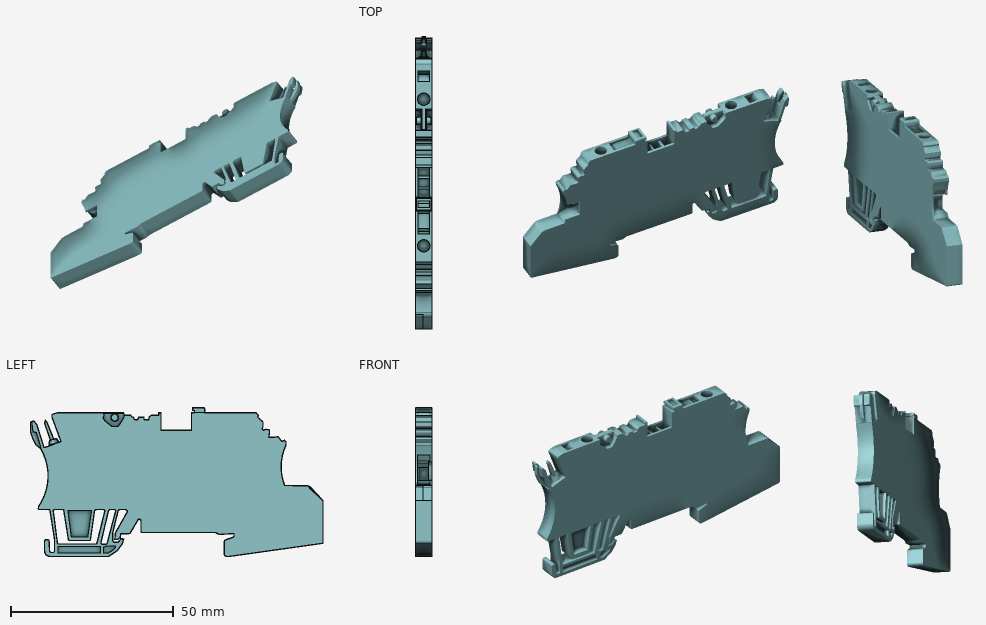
import cadquery as cq
import math

WIDTH = 5.1
HALF = WIDTH / 2
TOP = 44.2
OVERALL_TOP = 45.8
LEDGE = 21.8
RAIL = 7.4
FOOT_TOP = 14.4
DECK = 43.4
TOOTH = 42.8
GROOVE = 42.05
NOTCH_FLOOR = 38.8
NOTCH_START, NOTCH_END = 4.8, -4.5
TAIL_Y = -44.9
TAIL_SLOPE_END = 17.2
TAIL_SEAM_X = -0.2
WELL_DEPTH = 3.6
SEPARATOR_DROP = 0.9
SEPARATORS = [(2.2, 1.35), (-1.3, -1.8)]
POCKET_HALF = 1.8

FOOT_BACK = 40.6
WINDOW_FLOOR = 3.9
FOOT_POCKET_DEPTH = 1.35
TONGUE_POCKET_DEPTH = 2.3

SLANT_FOOT = (35.6, 35.3)
FLAP_RIB_HALF = 0.5
FLAP_SLOT_HALF = 0.8
BLADE_TIP_WIDTH, BLADE_TIP_Z = 1.0, 41.9
BLADE_ROOT_WIDTH = 2.2
FLAP_TIP_Y = 44.9
HUB_RADIUS, HUB_TOP_RADIUS, HUB_HEIGHT = 1.7, 1.1, 1.4
HUB_Y, HUB_Z = 37.6, 34.6
FLOOR_TILT = 16.0

WEB_HALF = 0.8
WEB_CHAMFER = 0.3
WEB_START, WEB_END = 22.6, 16.2
BOSS_Y, BOSS_Z = 19.05, 42.7
BOSS_RADIUS, BOSS_TIP_RADIUS, BOSS_REACH = 1.3, 1.1, 2.25

SCREW_POSITIONS = [25.7, -19.3]
SCREW_RADIUS = 1.9
SCREW_HEAD_DEPTH = 4.5
SCREW_LENGTH = 4.5

LEVER_BACK, LEVER_FRONT = -4.85, -8.6
STEM_BACK, STEM_FRONT = -5.4, -8.45
STEM_BOTTOM = 41.3
STEM_HALF = 1.7
CAP_CHAMFER = 0.3

FUNNEL_HALF = 2.0
WIRE_HOLE_WIDTH = 3.0
WIRE_HOLE_BOTTOM, WIRE_HOLE_TOP = 23.4, 27.3
FUNNEL_FRONT, FUNNEL_BACK, WIRE_HOLE_BACK = -35.9, -29.65, -24.3
SIDE_OPENING_BOTTOM, SIDE_OPENING_TOP = LEDGE + 1.4, LEDGE + 7.2
SIDE_OPENING_BACK = -27.85


def toward(start, end, distance):
    """Point at the given distance from start on the way to end."""
    length = math.dist(start, end)
    return tuple(s + (e - s) * distance / length for s, e in zip(start, end))


def trace(sketch, points):
    """Continue a sketch through (y, z) or (y, z, corner radius) points.

    The corners at the ends of an open stretch are sharp.
    """
    for index, point in enumerate(points):
        corner = point[:2]
        if len(point) == 2:
            sketch = sketch.lineTo(*corner)
            continue
        before = points[index - 1][:2]
        after = points[(index + 1) % len(points)][:2]
        radius = point[2]
        a = math.atan2(before[1] - corner[1], before[0] - corner[0])
        b = math.atan2(after[1] - corner[1], after[0] - corner[0])
        half_angle = abs(math.remainder(a - b, 2 * math.pi)) / 2
        setback = radius / math.tan(half_angle)
        inner_gap = radius / math.sin(half_angle) - radius
        bisector = toward((0, 0), (math.cos(a) + math.cos(b), math.sin(a) + math.sin(b)), 1)
        middle = (corner[0] + bisector[0] * inner_gap, corner[1] + bisector[1] * inner_gap)
        sketch = sketch.lineTo(*toward(corner, before, setback))
        sketch = sketch.threePointArc(middle, toward(corner, after, setback))
    return sketch


def prism(points, x_start=-HALF, x_end=HALF):
    """Extrude a closed (y, z) outline along X; its first corner must be sharp."""
    sketch = cq.Workplane("YZ", origin=(x_start, 0, 0)).moveTo(*points[0][:2])
    return trace(sketch, points[1:] + points[:1]).close().extrude(x_end - x_start)


def block(x_half, y_start, y_end, z_start, z_end):
    """Box centred on X between two Y and two Z positions."""
    return (cq.Workplane("XY")
            .box(2 * x_half, abs(y_end - y_start), z_end - z_start)
            .translate((0, (y_start + y_end) / 2, (z_start + z_end) / 2)))


def housing_plate():
    """Full side outline of the housing."""
    top_edge = [
        (38.4, 42.85), (38.4, 43.5), (38.0, 43.75), (36.5, TOP), (WEB_END + 0.2, TOP), (WEB_END - 0.1, DECK),
        (14.1, DECK), (13.8, 42.9), (13.3, TOOTH), (12.9, GROOVE), (12.0, GROOVE), (11.7, TOOTH),
        (10.1, TOOTH), (10.0, GROOVE), (8.6, GROOVE), (8.5, TOOTH), (7.8, DECK),
        (5.6, DECK), (5.6, TOP), (NOTCH_START, TOP), (NOTCH_START, NOTCH_FLOOR),
        (NOTCH_END, NOTCH_FLOOR), (NOTCH_END, TOP),
    ]
    stepped_corner = [
        (-24.35, TOP), (-25.1, 43.3), (-24.9, 42.8), (-26.5, 41.3), (-26.5, 39.8), (-26.2, 39.3),
        (-26.6, 38.8), (-27.4, 39.1), (-28.5, 38.9, 0.3), (-28.5, 37.9), (-28.3, 36.65),
        (-29.8, 36.65), (-31.1, 36.8), (-32.3, 35.3), (-33.1, 35.8), (-33.6, 35.1), (-33.5, 34.05),
    ]
    tail = [
        (-40.6, LEDGE, 1.8), (TAIL_Y, TAIL_SLOPE_END), (TAIL_Y, 4.0, 0.45), (-16.2, 0.0),
        (-14.55, 0.0, 0.8), (-14.55, 4.85, 0.5), (-15.4, 5.3), (-17.5, 6.0, 0.3), (-17.5, 7.0),
        (-15.7, 6.9), (-13.0, 6.7), (-11.8, RAIL), (11.05, RAIL, 0.4), (11.05, 12.7, 0.45),
    ]
    latch_arm = [
        (14.4, 7.0), (17.2, 6.9), (17.3, 5.75), (18.2, 5.2), (19.05, 5.2), (18.9, 7.3),
        (15.1, 13.9), (15.6, FOOT_TOP), (17.9, FOOT_TOP, 0.5),
    ]
    foot = [
        (19.6, 7.5), (19.6, 4.4, 0.5), (18.1, 4.4), (17.0, 5.6), (16.3, 5.4), (16.7, 3.9),
        (18.2, 1.8), (20.9, 0.0), (FOOT_BACK, 0.0, 1.8), (FOOT_BACK, 5.2, 0.5),
        (39.2, 5.2, 0.5), (39.0, 1.3, 0.5), (37.55, 1.3, 0.45), (37.55, 5.2), (39.0, FOOT_TOP, 0.4),
        (42.6, FOOT_TOP, 0.4), (42.4, 15.45),
    ]
    flap_edge = [
        (43.3, 34.4), (44.2, 36.1), (FLAP_TIP_Y, 38.3), (FLAP_TIP_Y, 41.1), (44.65, 41.5), (43.8, 41.6),
        (42.9, 40.5), (40.7, 33.4, 0.3), SLANT_FOOT,
    ]
    sketch = cq.Workplane("YZ", origin=(-HALF, 0, 0)).moveTo(*SLANT_FOOT)
    sketch = trace(sketch, top_edge + stepped_corner)
    sketch = sketch.threePointArc((-32.1, 27.9), (-33.15, LEDGE))
    sketch = trace(sketch, tail + latch_arm + foot)
    sketch = sketch.threePointArc((39.5, 24.5), (41.8, 33.1))
    return trace(sketch, flap_edge).close().extrude(WIDTH)


def foot_windows():
    """Openings right through the spring foot."""
    around_tongue = prism([
        (34.8, FOOT_TOP), (33.2, 4.85, 0.5), (26.5, 4.85, 0.5), (25.2, FOOT_TOP, 0.5),
        (22.0, FOOT_TOP, 0.4), (24.6, WINDOW_FLOOR, 0.4), (36.6, WINDOW_FLOOR, 0.3),
        (37.9, FOOT_TOP, 0.4),
    ])
    slanted_slot = prism([
        (19.8, FOOT_TOP), (18.7, FOOT_TOP, 0.4), (21.5, 3.8, 0.5), (23.4, 3.8, 0.5), (20.8, FOOT_TOP, 0.45),
    ])
    return around_tongue.union(slanted_slot)


def foot_pockets():
    """Blind pockets sunk into the -X face of the foot."""
    tongue = prism([(33.4, 14.2), (26.1, 14.2), (27.3, 5.9), (32.3, 5.9)],
                   x_end=TONGUE_POCKET_DEPTH - HALF)
    bar = prism([(36.5, 3.05), (23.45, 3.05), (23.45, 1.1), (36.5, 1.1)],
                x_end=FOOT_POCKET_DEPTH - HALF)
    toe = prism([(22.5, 2.9), (21.3, 3.2), (18.8, 3.2), (18.8, 2.8), (19.6, 2.0), (21.1, 1.1), (22.5, 1.1)],
                x_end=FOOT_POCKET_DEPTH - HALF)
    return tongue.union(bar).union(toe)


def flap_cuts():
    """Leave a narrow rib on the outside of the flap and a slot between its two plates."""
    back_of_plates = [(44.5, 41.0), (44.1, 38.3), (43.1, 38.1)]
    outside = back_of_plates + [(41.6, 33.15), (45.8, 33.15), (45.8, 42.2), (44.5, 42.2)]
    between = back_of_plates + [(41.8, 37.6), (42.7, 42.2), (44.5, 42.2)]
    sides = prism(outside).cut(prism(outside, -FLAP_RIB_HALF, FLAP_RIB_HALF))
    return sides.union(prism(between, -FLAP_SLOT_HALF, FLAP_SLOT_HALF))


def marker_pin():
    """Flat blade, wider at its root, on a round tapered hub."""
    blade_side = prism([(40.3, 41.9), (40.6, 41.0), (39.0, 36.2), (38.3, 34.8), (37.2, 34.8), (37.9, 36.5),
                        (39.8, 41.15)])
    blade_front = (cq.Workplane("XZ")
                   .moveTo(-BLADE_ROOT_WIDTH / 2, HUB_Z).lineTo(BLADE_ROOT_WIDTH / 2, HUB_Z)
                   .lineTo(BLADE_TIP_WIDTH / 2, BLADE_TIP_Z).lineTo(-BLADE_TIP_WIDTH / 2, BLADE_TIP_Z)
                   .close().extrude(-FLAP_TIP_Y))
    hub = cq.Workplane(cq.Solid.makeCone(
        HUB_RADIUS, HUB_TOP_RADIUS, HUB_HEIGHT, pnt=cq.Vector(0, HUB_Y, HUB_Z),
        dir=cq.Vector(0, math.sin(math.radians(FLOOR_TILT)), math.cos(math.radians(FLOOR_TILT)))))
    return blade_side.intersect(blade_front).union(hub)


def web_recesses():
    """Recess on each side of the web, with the web's top edges chamfered."""
    recess = prism([
        (WEB_START, TOP), (22.3, 43.4), (22.6, 42.5), (22.1, 41.7), (19.85, 39.9), (18.1, 39.9),
        (16.9, 41.5), (WEB_END, 42.85), (WEB_END - 0.1, DECK), (WEB_END - 0.1, TOP),
    ])
    web = block(WEB_HALF, WEB_START + 0.9, WEB_END - 0.9, NOTCH_FLOOR, TOP)
    web = web.edges("|Y and >Z").chamfer(WEB_CHAMFER)
    return recess.cut(web)


def web_bosses():
    """Slightly tapered boss on each face of the web."""
    bosses = cq.Workplane()
    for side in (-1, 1):
        bosses = bosses.union(cq.Workplane(cq.Solid.makeCone(
            BOSS_RADIUS, BOSS_TIP_RADIUS, BOSS_REACH,
            pnt=cq.Vector(0, BOSS_Y, BOSS_Z), dir=cq.Vector(side, 0, 0))))
    return bosses


def screw_bore(y):
    """Round bore deep enough for the screw and the driver above it."""
    depth = SCREW_HEAD_DEPTH + SCREW_LENGTH
    return cq.Workplane("XY", origin=(0, y, TOP - depth)).circle(SCREW_RADIUS).extrude(depth)


def top_pockets():
    """Probe pocket, lever slot and the three-part well under the notch."""
    probe = prism([(34.3, TOP), (33.3, 41.5), (31.1, TOP)], -POCKET_HALF, POCKET_HALF)
    lever_slot = prism([
        (STEM_FRONT, TOP), (STEM_FRONT, 43.75), (-9.3, 43.3), (-13.9, 43.3), (-14.9, 42.6),
        (-15.6, 42.8), (-15.6, TOP),
    ], -POCKET_HALF, POCKET_HALF)
    well_bottom = NOTCH_FLOOR - WELL_DEPTH
    separator_top = NOTCH_FLOOR - SEPARATOR_DROP
    well = block(POCKET_HALF, NOTCH_START, NOTCH_END, well_bottom, NOTCH_FLOOR)
    for start, end in SEPARATORS:
        well = well.cut(block(POCKET_HALF, start, end, well_bottom, separator_top))
    return probe.union(lever_slot).union(well)


def wire_funnel():
    """Tapered wire entry with a square hole behind it and an opening in the +X wall."""
    funnel = prism([
        (FUNNEL_FRONT, 31.2), (-32.3, 31.2), (-31.1, 29.3), (-31.1, 28.7), (FUNNEL_BACK, WIRE_HOLE_TOP),
        (FUNNEL_BACK, WIRE_HOLE_BOTTOM), (-31.9, 22.6), (-33.15, 22.0), (FUNNEL_FRONT, 22.0),
    ], -FUNNEL_HALF, FUNNEL_HALF)
    hole = block(WIRE_HOLE_WIDTH / 2, FUNNEL_BACK, WIRE_HOLE_BACK, WIRE_HOLE_BOTTOM, WIRE_HOLE_TOP)
    side_opening = prism([
        (FUNNEL_FRONT, SIDE_OPENING_BOTTOM), (SIDE_OPENING_BACK, SIDE_OPENING_BOTTOM),
        (SIDE_OPENING_BACK, SIDE_OPENING_TOP), (FUNNEL_FRONT, SIDE_OPENING_TOP),
    ], WIRE_HOLE_WIDTH / 2, HALF)
    return funnel.union(hole).union(side_opening)


def tail_relief():
    """Thin wedge off the -X part of the sloping tail face, fading out toward its lower end."""
    return prism([(-40.3, 21.7), (TAIL_Y, TAIL_SLOPE_END), (-40.7, 21.0)], x_end=TAIL_SEAM_X)


def lever_stem():
    """Part of the lever that sits inside the housing."""
    return block(STEM_HALF, STEM_BACK, STEM_FRONT, STEM_BOTTOM, TOP)


def make_housing():
    body = housing_plate().cut(foot_windows()).cut(foot_pockets())
    body = body.cut(flap_cuts()).union(marker_pin())
    body = body.cut(web_recesses()).union(web_bosses())
    body = body.cut(top_pockets()).cut(wire_funnel()).cut(lever_stem()).cut(tail_relief())
    for y in SCREW_POSITIONS:
        body = body.cut(screw_bore(y))
    return body


def make_lever():
    """Cap with a stepped finger pocket in its top, on a stem that goes into the housing."""
    cap = prism([
        (LEVER_BACK, OVERALL_TOP), (LEVER_BACK, 44.8), (STEM_BACK, 44.8), (STEM_BACK, TOP),
        (LEVER_FRONT, TOP), (LEVER_FRONT, 45.3), (-8.3, OVERALL_TOP),
    ])
    cap = cap.edges("|Y and >Z").chamfer(CAP_CHAMFER)
    finger_pocket = prism([
        (-5.6, OVERALL_TOP), (-5.6, 44.8), (-6.4, 44.8), (-6.4, 45.2), (-7.55, 45.2), (-7.55, OVERALL_TOP),
    ], -POCKET_HALF, POCKET_HALF)
    return cap.cut(finger_pocket).union(lever_stem())


def make_screw(y):
    """Plain round screw filling the lower part of its bore."""
    bottom = TOP - SCREW_HEAD_DEPTH - SCREW_LENGTH
    return cq.Workplane("XY", origin=(0, y, bottom)).circle(SCREW_RADIUS).extrude(SCREW_LENGTH)


housing = make_housing()
lever = make_lever()
screws = [make_screw(y).val() for y in SCREW_POSITIONS]

result = cq.Compound.makeCompound([housing.val(), lever.val(), *screws])